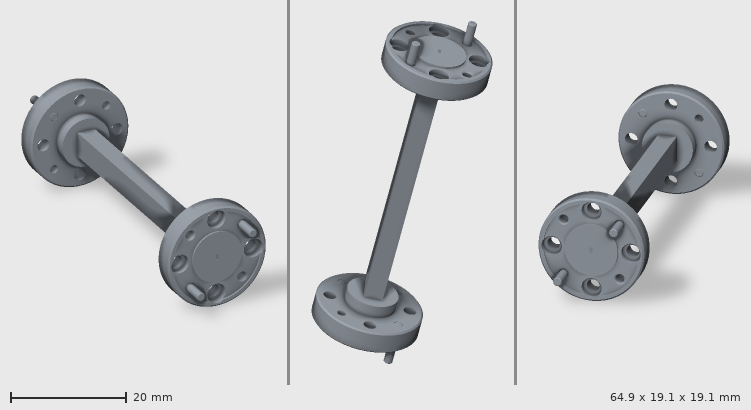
import cadquery as cq
import math

overall_length = 64.9
pin_tip_x = overall_length / 2

flange_diameter = 19.1
flange_thickness = 4.1
pin_projection = 3.8
flange_chamfer = 0.3
mating_face_x = pin_tip_x - pin_projection
back_face_x = mating_face_x - flange_thickness

boss_diameter = 9.6
rim_inner_diameter = 17.15
relief_depth = 0.4

collar_diameter = 9.15
collar_length = 2.35
bar_width = 3.4
bar_height = 4.55
collar_end_x = back_face_x - collar_length

aperture_width = 0.5
aperture_height = 1.05
aperture_depth = 0.1

hole_circle_radius = 7.15
screw_hole_diameter = 2.3
counterbore_diameter = 3.6
counterbore_depth = 1.5
pin_diameter = 1.55
pin_chamfer = 0.1
pin_hole_chamfer = 0.2
screw_angles = [0, 90, 180, 270]
pin_hole_angles = [45, 135, 225, 315]

pin_angles = {-1: [135, 315], 1: [45, 225]}


def circle_point(angle):
    """Y and Z of a point on the hole circle."""
    turn = math.radians(angle)
    return (hole_circle_radius * math.cos(turn), hole_circle_radius * math.sin(turn))


def rods(diameter, start_x, end_x, angles):
    """Round rods along X, one at each angle of the hole circle."""
    return (
        cq.Workplane("YZ", origin=(start_x, 0, 0))
        .pushPoints([circle_point(angle) for angle in angles])
        .circle(diameter / 2)
        .extrude(end_x - start_x)
    )


def pin_hole_mouths(side, floor_x):
    """Conical mouths of the pin holes, opening onto the relief floor."""
    cone = cq.Solid.makeCone(
        pin_diameter / 2 + pin_hole_chamfer,
        pin_diameter / 2,
        pin_hole_chamfer,
        dir=cq.Vector(-side, 0, 0),
    )
    cones = [cone.translate(cq.Vector(floor_x, *circle_point(angle))) for angle in pin_hole_angles]
    return cq.Workplane(cq.Compound.makeCompound(cones))


def make_flange(side):
    """Drilled flange disc with its collar, at the -X (side -1) or +X (side 1) end."""
    back_x = side * back_face_x
    face_x = side * mating_face_x
    floor_x = face_x - side * relief_depth

    disc = (
        cq.Workplane("YZ", origin=(back_x, 0, 0))
        .circle(flange_diameter / 2)
        .extrude(side * flange_thickness)
        .edges()
        .chamfer(flange_chamfer)
    )
    collar = (
        cq.Workplane("YZ", origin=(back_x, 0, 0))
        .circle(collar_diameter / 2)
        .extrude(-side * collar_length)
    )
    relief = (
        cq.Workplane("YZ", origin=(face_x, 0, 0))
        .circle(rim_inner_diameter / 2)
        .circle(boss_diameter / 2)
        .extrude(-side * relief_depth)
    )
    aperture = (
        cq.Workplane("YZ", origin=(face_x, 0, 0))
        .rect(aperture_width, aperture_height)
        .extrude(-side * aperture_depth)
    )
    screw_holes = rods(screw_hole_diameter, back_x, face_x, screw_angles)
    counterbores = rods(counterbore_diameter, face_x - side * counterbore_depth, face_x, screw_angles)
    pin_holes = rods(pin_diameter, back_x, floor_x, pin_hole_angles)

    flange = disc.union(collar).cut(relief).cut(aperture)
    flange = flange.cut(screw_holes).cut(counterbores)
    return flange.cut(pin_holes).cut(pin_hole_mouths(side, floor_x))


def make_waveguide():
    """One-piece waveguide: a rectangular bar between two flanges."""
    waveguide = cq.Workplane("XY").box(2 * collar_end_x, bar_width, bar_height)
    for side in (-1, 1):
        waveguide = waveguide.union(make_flange(side))
    return waveguide


def make_pins(side):
    """Alignment pins of one flange, flush with its back face."""
    pins = rods(pin_diameter, side * back_face_x, side * pin_tip_x, pin_angles[side])
    return pins.faces("|X").chamfer(pin_chamfer)


waveguide = make_waveguide()
bodies = [waveguide.val()]
for side in (-1, 1):
    bodies.extend(make_pins(side).vals())

result = cq.Compound.makeCompound(bodies)